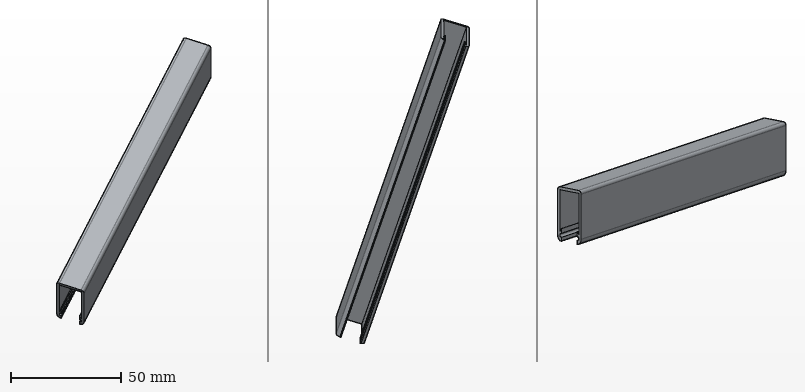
import cadquery as cq
import math

LENGTH = 152.4
WIDTH = 13.5
HEIGHT = 25.5
WALL = 1.4
TOP_RADIUS = 1.5

FOOT_ARC_RADIUS = 3.0
FOOT_ARC_HEIGHT = 2.7

LIP_DEPTH = 0.9
GROOVE_RADIUS = LIP_DEPTH
GROOVE_HEIGHT = 2.7
BARB_ROOT = 4.7
BARB_TIP = 6.0

half_width = WIDTH / 2
wall_x = half_width - WALL
lip_x = wall_x - LIP_DEPTH


def foot_arc_x(z):
    """Outside X of the rounded lower edge at height z."""
    center_x = half_width - FOOT_ARC_RADIUS
    return center_x + math.sqrt(FOOT_ARC_RADIUS**2 - (FOOT_ARC_HEIGHT - z) ** 2)


def make_half():
    """The +X half of the channel, swept along its full length."""
    corner_shift = TOP_RADIUS * (1 - math.sqrt(0.5))
    arc_middle = FOOT_ARC_HEIGHT / 2
    return (
        cq.Workplane("XZ")
        .moveTo(0, HEIGHT)
        .lineTo(half_width - TOP_RADIUS, HEIGHT)
        .threePointArc(
            (half_width - corner_shift, HEIGHT - corner_shift),
            (half_width, HEIGHT - TOP_RADIUS),
        )
        .lineTo(half_width, FOOT_ARC_HEIGHT)
        .threePointArc((foot_arc_x(arc_middle), arc_middle), (foot_arc_x(0), 0))
        .lineTo(lip_x, 0)
        .lineTo(lip_x, GROOVE_HEIGHT - GROOVE_RADIUS)
        .threePointArc(
            (lip_x + GROOVE_RADIUS, GROOVE_HEIGHT),
            (lip_x, GROOVE_HEIGHT + GROOVE_RADIUS),
        )
        .lineTo(lip_x, BARB_TIP)
        .lineTo(wall_x, BARB_ROOT)
        .lineTo(wall_x, HEIGHT - WALL)
        .lineTo(0, HEIGHT - WALL)
        .close()
        .extrude(LENGTH / 2, both=True)
    )


half = make_half()
result = half.union(half.mirror("YZ")).clean()